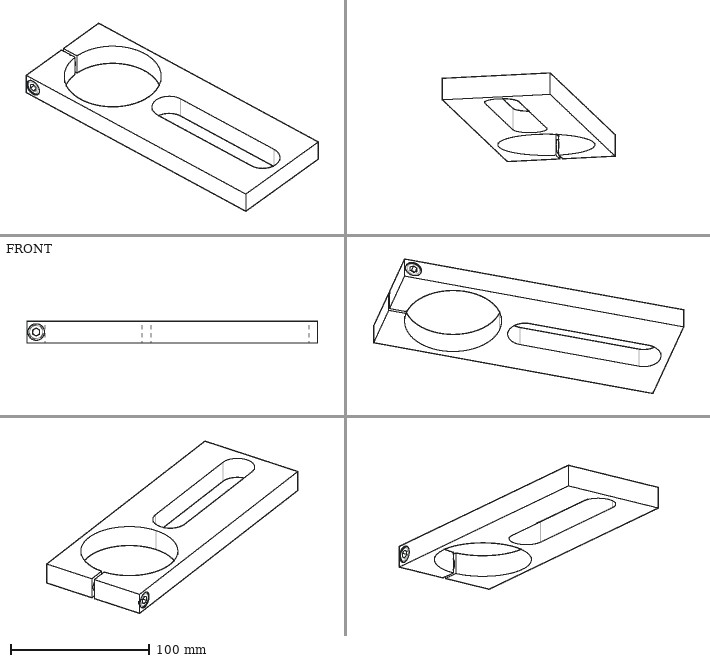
import cadquery as cq
import math

length = 210.0
width = 80.0
thickness = 16.0
mid_y = width / 2
mid_z = thickness / 2

bore_radius = 35.0
bore_x = 48.0
slit_width = 2.0

slot_start = 89.7
slot_end = 204.0
slot_width = 25.0

screw_x = 6.7
shank_diameter = 10.0
head_diameter = 12.0
head_height = 10.0
head_rounding = 1.3
hex_across_flats = 5.0
socket_depth = 5.0
socket_tip_angle = 120.0


def make_plate():
    """Plain plate with the bore, the slit and the adjustment slot."""
    plate = cq.Workplane("XY").box(length, width, thickness, centered=False)
    bore = cq.Workplane("XY").center(bore_x, mid_y).circle(bore_radius).extrude(thickness)
    slit = (
        cq.Workplane("XY")
        .center(bore_x / 2, mid_y)
        .rect(bore_x, slit_width)
        .extrude(thickness)
    )
    slot = (
        cq.Workplane("XY")
        .center((slot_start + slot_end) / 2, mid_y)
        .slot2D(slot_end - slot_start, slot_width)
        .extrude(thickness)
    )
    return plate.cut(bore).cut(slit).cut(slot)


def side_cylinder(diameter, depth):
    """Cylinder on the screw axis, from the Y = 0 side face inwards."""
    start = cq.Vector(screw_x, 0, mid_z)
    return cq.Workplane(cq.Solid.makeCylinder(diameter / 2, depth, start, cq.Vector(0, 1, 0)))


def make_head():
    """Screw head with a rounded outer rim."""
    return side_cylinder(head_diameter, head_height).faces("<Y").edges().fillet(head_rounding)


def make_socket():
    """Hexagon socket with two flats parallel to Z and a conical bottom."""
    corner_diameter = hex_across_flats / math.cos(math.pi / 6)
    tip_radius = hex_across_flats / 2
    tip_depth = tip_radius / math.tan(math.radians(socket_tip_angle / 2))
    hexagon = (
        cq.Workplane("XZ", origin=(screw_x, 0, mid_z))
        .transformed(rotate=(0, 0, 30))
        .polygon(6, corner_diameter)
        .extrude(-socket_depth)
    )
    tip_start = cq.Vector(screw_x, socket_depth, mid_z)
    tip = cq.Solid.makeCone(tip_radius, 0, tip_depth, tip_start, cq.Vector(0, 1, 0))
    return hexagon.union(cq.Workplane(tip))


shank_length = mid_y + slit_width
shank = side_cylinder(shank_diameter, shank_length).cut(side_cylinder(head_diameter, head_height))

result = (
    make_plate()
    .union(shank)
    .cut(side_cylinder(head_diameter, head_height))
    .union(make_head())
    .cut(make_socket())
)